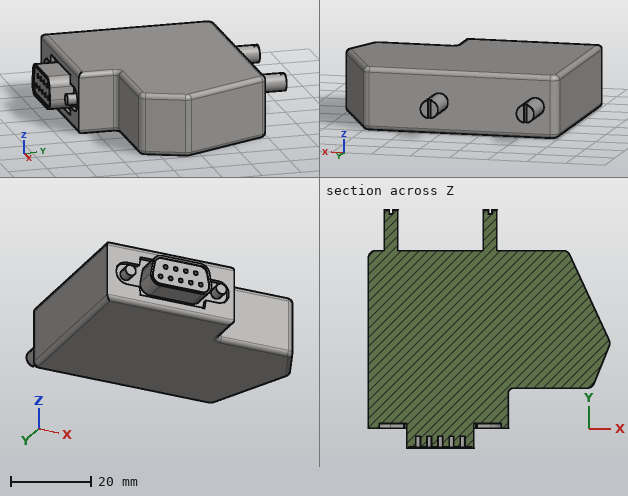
import cadquery as cq
import math

hood_width = 60.2
hood_depth = 44.3
hood_height = 16.0
mid_height = hood_height / 2
nose_width = 34.95
step_depth = 9.9
tip_y = 21.25
tip_overshoot = 0.2
back_corner_x = 49.7
front_corner_x = 55.8
corner_radius = 2.0
step_radius = 1.1
rim_radius = 1.2

connector_x = 18.0
screw_spacing = 25.0
recess_depth = 1.15
ear_radius = 3.0
window_height = 10.45
window_middle_width = 18.3
window_end_width = 17.6
window_straight_height = 2 * ear_radius
shell_length = 5.0
shell_height = 8.35
shell_width = 16.8
shell_corner_radius = 2.65
shell_side_angle = math.radians(10)
shell_wall = 0.6
insert_setback = 0.3
pin_pitch = 2.75
pin_row_spacing = 2.9
pin_hole_diameter = 1.1
pin_hole_depth = 3.0
lower_row_count = 5
upper_row_count = 4

screw_tip_diameter = 2.8
screw_tip_length = 2.0
screw_head_diameter = 4.5
screw_head_length = 10.05
screw_head_spacing = 24.65
screw_head_center_x = 18.05
driver_slot_width = 0.85
driver_slot_depth = 1.0


def front_plane(y):
    """Plane at depth y, facing the front, centred on the connector."""
    return cq.Workplane("XZ", origin=(connector_x, y, mid_height))


def make_hood():
    outline = [
        (0, 0),
        (nose_width, 0),
        (nose_width, step_depth),
        (front_corner_x, step_depth),
        (hood_width + tip_overshoot, tip_y),
        (back_corner_x, hood_depth),
        (0, hood_depth),
    ]
    hood = cq.Workplane("XY").polyline(outline).close().extrude(hood_height)

    corner_roundings = [
        (outline[2], step_radius),
        (outline[3], corner_radius),
        (outline[4], corner_radius),
        (outline[5], corner_radius),
        (outline[6], corner_radius),
    ]
    for (x, y), radius in corner_roundings:
        nearest = cq.selectors.NearestToPointSelector((x, y, mid_height))
        hood = hood.edges("|Z").edges(nearest).fillet(radius)
    return hood.faces("<Z or >Z").edges().fillet(rim_radius)


def make_recess():
    ears = (
        front_plane(recess_depth)
        .slot2D(screw_spacing + 2 * ear_radius, 2 * ear_radius)
        .extrude(recess_depth)
    )
    half_middle = window_middle_width / 2
    half_end = window_end_width / 2
    half_straight = window_straight_height / 2
    half_height = window_height / 2
    window = (
        front_plane(recess_depth)
        .moveTo(-half_end, -half_height)
        .lineTo(half_end, -half_height)
        .lineTo(half_middle, -half_straight)
        .lineTo(half_middle, half_straight)
        .lineTo(half_end, half_height)
        .lineTo(-half_end, half_height)
        .lineTo(-half_middle, half_straight)
        .lineTo(-half_middle, -half_straight)
        .close()
        .extrude(recess_depth)
    )
    return ears.union(window)


def d_prism(inset, start_y, length):
    """Rounded D-shaped prism, shrunk by inset, running forward from start_y."""
    half_height = shell_height / 2 - inset
    radius = shell_corner_radius - inset
    sharp_gain = radius * (math.tan(math.pi / 4 + shell_side_angle / 2) - 1)
    lower_half = shell_width / 2 - inset + sharp_gain
    upper_half = lower_half - 2 * half_height * math.tan(shell_side_angle)
    return (
        front_plane(start_y)
        .polyline([
            (-lower_half, -half_height),
            (lower_half, -half_height),
            (upper_half, half_height),
            (-upper_half, half_height),
        ])
        .close()
        .extrude(length)
        .edges("|Y")
        .fillet(radius)
    )


def make_connector():
    shell = d_prism(0, recess_depth, recess_depth + shell_length)
    socket = d_prism(shell_wall, insert_setback - shell_length, insert_setback)

    def pin_row(count, z):
        return [((i - (count - 1) / 2) * pin_pitch, z) for i in range(count)]

    lower_row = pin_row(lower_row_count, -pin_row_spacing / 2)
    upper_row = pin_row(upper_row_count, pin_row_spacing / 2)
    pin_holes = (
        front_plane(pin_hole_depth - shell_length)
        .pushPoints(lower_row + upper_row)
        .circle(pin_hole_diameter / 2)
        .extrude(pin_hole_depth)
    )
    return shell.cut(socket).cut(pin_holes)


def make_screw_tips():
    return (
        front_plane(recess_depth)
        .pushPoints([(-screw_spacing / 2, 0), (screw_spacing / 2, 0)])
        .circle(screw_tip_diameter / 2)
        .extrude(recess_depth + screw_tip_length)
    )


def make_screw_head(x):
    head = (
        cq.Workplane("XZ", origin=(x, hood_depth, mid_height))
        .circle(screw_head_diameter / 2)
        .extrude(-screw_head_length)
    )
    slot_center_y = hood_depth + screw_head_length - driver_slot_depth / 2
    slot = (
        cq.Workplane("XY")
        .box(driver_slot_width, driver_slot_depth, screw_head_diameter)
        .translate((x, slot_center_y, mid_height))
    )
    return head.cut(slot)


result = make_hood().cut(make_recess()).union(make_connector()).union(make_screw_tips())
for side in (-1, 1):
    head_x = screw_head_center_x + side * screw_head_spacing / 2
    result = result.union(make_screw_head(head_x))